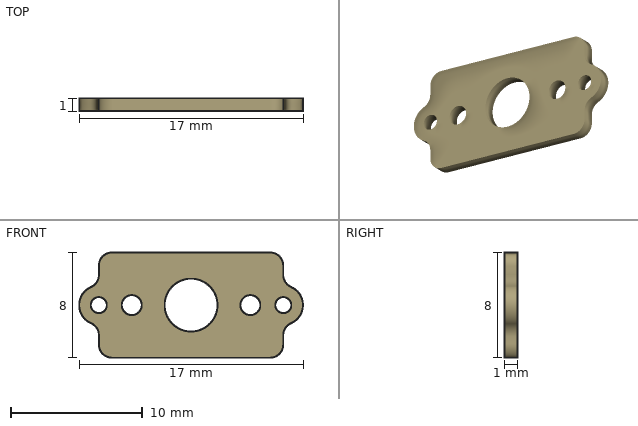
import cadquery as cq
import math

plate_length = 14.0
plate_height = 8.0
plate_thickness = 1.0
corner_radius = 1.0

ear_radius = 1.5
ear_fillet_radius = 1.0

center_hole_diameter = 4.0
inner_hole_diameter = 1.5
inner_hole_offset = 4.5
ear_hole_diameter = 1.2

half_length = plate_length / 2
half_height = plate_height / 2


def extrude_centered(sketch):
    """Extrude an XZ sketch by the plate thickness, centred on Y = 0."""
    return sketch.extrude(plate_thickness / 2, both=True)


def make_plate():
    """Rectangular plate with rounded corners."""
    outline = cq.Workplane("XZ").rect(plate_length, plate_height)
    return extrude_centered(outline).edges("|Y").fillet(corner_radius)


def make_ear(side):
    """Ear blended into the short edge at side = -1 or +1 by two concave arcs."""
    center_distance = ear_radius + ear_fillet_radius
    blend_z = math.sqrt(center_distance**2 - ear_fillet_radius**2)
    ear_share = ear_radius / center_distance
    tangent_x = half_length + ear_fillet_radius * ear_share
    tangent_z = blend_z * ear_share

    half_angle = math.acos(ear_fillet_radius / center_distance) / 2
    middle_x = half_length + ear_fillet_radius * (1 - math.cos(half_angle))
    middle_z = blend_z - ear_fillet_radius * math.sin(half_angle)

    root_x = half_length - ear_radius
    outline = (
        cq.Workplane("XZ")
        .moveTo(side * root_x, blend_z)
        .lineTo(side * half_length, blend_z)
        .threePointArc((side * middle_x, middle_z), (side * tangent_x, tangent_z))
        .threePointArc((side * (half_length + ear_radius), 0), (side * tangent_x, -tangent_z))
        .threePointArc((side * middle_x, -middle_z), (side * half_length, -blend_z))
        .lineTo(side * root_x, -blend_z)
        .close()
    )
    return extrude_centered(outline)


def make_holes(diameter, offsets):
    """Cylinders through the plate at the given X positions."""
    centers = [(x, 0) for x in offsets]
    return extrude_centered(cq.Workplane("XZ").pushPoints(centers).circle(diameter / 2))


result = make_plate()
for side in (-1, 1):
    result = result.union(make_ear(side))
result = result.clean()

result = result.cut(make_holes(center_hole_diameter, [0]))
result = result.cut(make_holes(inner_hole_diameter, [-inner_hole_offset, inner_hole_offset]))
result = result.cut(make_holes(ear_hole_diameter, [-half_length, half_length]))